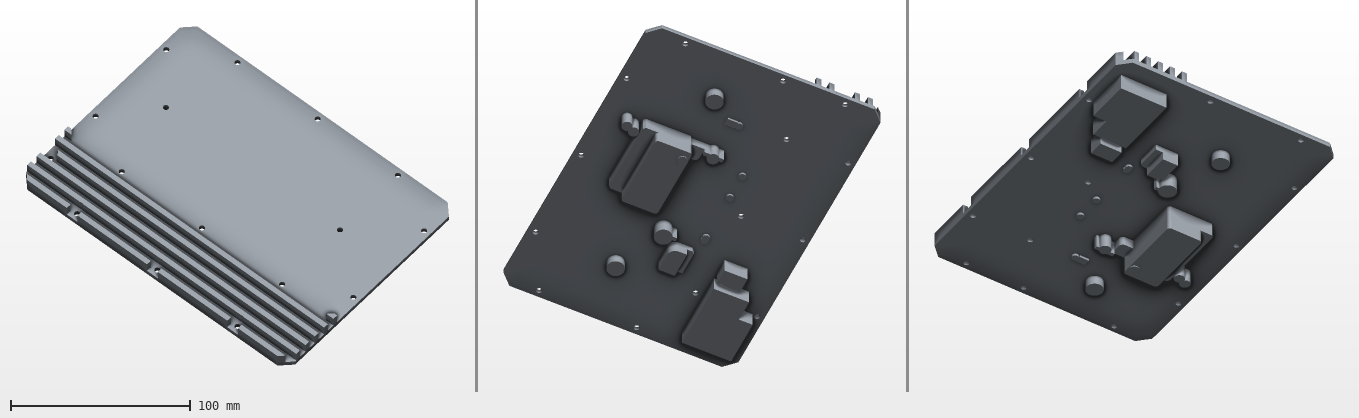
import cadquery as cq

LENGTH = 198.0
DEPTH = 145.0
THICKNESS = 3.0
CORNER = 7.0

PANEL_DEPTH = 107.0
PANEL_FRONT = DEPTH / 2 - PANEL_DEPTH
PANEL_MID = DEPTH / 2 - PANEL_DEPTH / 2

FIN_HEIGHT = 6.1
FIN_WIDTH = 3.2
FIN_PITCH = 8.0
FIN_COUNT = 6

HOLE_DIAMETER = 3.4
HOLE_INSET = 4.2
HOLE_SPACING_X = 59.0
HOLE_SPACING_Y = 60.2
SIDE_HOLE_FROM_FRONT = 23.2
SCREW_HEAD_RADIUS = 4.0

BOSS_DIAMETER = 10.3
BOSS_HEIGHT = 5.7
BOSS_HOLE_DEPTH = 6.0
BOSS_XS = (-69.1, HOLE_SPACING_X)

BLOCK_LEFT, BLOCK_RIGHT = -38.5, 8.1
BLOCK_FRONT, BLOCK_BACK = 17.8, 40.2
BLOCK_HEIGHT = 16.2
BLOCK_FILLET = 2.0
BUTTON_DIAMETER = 5.7
BUTTON_HEIGHT = 0.5
BUTTON_CENTRE = (-32.0, 21.2)

POST_HEIGHT = 8.5
SHELF_BACK = 48.0
SHELF_CHAMFER = 1.4
LEDGE_LEFT, LEDGE_RIGHT = -37.2, -28.0
LEDGE_FRONT = 9.9
LEDGE_FILLET = 2.8

REAR_POST_DIAMETER = 6.3
REAR_POST_CENTRES = ((-34.8, 56.6), (-32.9, 51.7))
SMALL_POST_DIAMETER = 7.1
SMALL_POST_CENTRE = (-34.8, 3.5)
LARGE_POST_DIAMETER = 10.5
LARGE_POST_CENTRE = (26.0, 5.3)
RIB_WIDTH = 2.4
RIB_LENGTH = 4.8
RIB_CENTRES = ((LEDGE_LEFT + RIB_WIDTH / 2, 7.5), (LEDGE_LEFT + RIB_WIDTH / 2, 0.4), (24.5, 0.4))

BASE_LEFT, BASE_RIGHT = 31.3, 47.5
BASE_FRONT, BASE_BACK = -11.9, -2.0
BASE_FILLET = 4.8
TOE_FRONT = -16.6
TOE_HEIGHT = 3.5
TOE_CHAMFER = 1.4

PAD_HEIGHT = 1.4
PAD_DIAMETER = 4.4
PAD_CENTRES = ((-56.6, -2.0), (-25.7, -18.8), (-9.5, -18.8), (21.4, -18.8), (23.4, -18.8))
LONG_PAD_LEFT, LONG_PAD_RIGHT = -58.8, -54.5
LONG_PAD_FRONT, LONG_PAD_BACK = -0.4, 5.7

CONNECTOR_HEIGHT = 9.9
CONNECTOR_BACK = -35.0
CONNECTORS = (
    (31.3, 41.0, -49.1),
    (45.3, 58.6, -56.8),
    (58.6, 86.7, -65.3),
)


def box(left, right, front, back, bottom, top):
    """Axis-aligned block between the given limits."""
    return (
        cq.Workplane("XY", origin=((left + right) / 2, (front + back) / 2, bottom))
        .rect(right - left, back - front)
        .extrude(top - bottom)
    )


def rods(centres, diameter, bottom, top):
    """Upright cylinders at the given centres; those that overlap are joined."""
    group = cq.Workplane("XY")
    for x, y in centres:
        group = group.union(cq.Workplane("XY", origin=(x, y, bottom)).circle(diameter / 2).extrude(top - bottom))
    return group


def octagon(front, back, top):
    """Plate of full length with its four upright corners cut at 45 degrees."""
    return box(-LENGTH / 2, LENGTH / 2, front, back, 0, top).edges("|Z").chamfer(CORNER)


def mirrored_row(y):
    """Three hole centres spread evenly about the middle of the length."""
    return [(i * HOLE_SPACING_X, y) for i in (-1, 0, 1)]


def screw_holes(centres):
    return rods(centres, HOLE_DIAMETER, 0, THICKNESS)


def panel_components():
    """Everything that hangs below the panel, except the bosses."""
    block = box(BLOCK_LEFT, BLOCK_RIGHT, BLOCK_FRONT, BLOCK_BACK, -BLOCK_HEIGHT, 0)
    parts = block.edges("|Z").fillet(BLOCK_FILLET)
    parts = parts.union(rods([BUTTON_CENTRE], BUTTON_DIAMETER, -BLOCK_HEIGHT - BUTTON_HEIGHT, -BLOCK_HEIGHT))

    shelf = box(BLOCK_LEFT, BLOCK_RIGHT, PANEL_MID, SHELF_BACK, -POST_HEIGHT, 0)
    shelf = shelf.edges("|Z and >Y").chamfer(SHELF_CHAMFER)
    ledge = box(LEDGE_LEFT, LEDGE_RIGHT, LEDGE_FRONT, PANEL_MID, -BOSS_HEIGHT, 0)
    ledge = ledge.edges("|Z and >X and <Y").fillet(LEDGE_FILLET)
    base = box(BASE_LEFT, BASE_RIGHT, BASE_FRONT, BASE_BACK, -POST_HEIGHT, 0)
    base = base.edges("|Z and <X and >Y").fillet(BASE_FILLET)
    toe = box(BASE_LEFT, BASE_RIGHT, TOE_FRONT, BASE_FRONT, -TOE_HEIGHT, 0)
    toe = toe.edges("|Z and <X and <Y").chamfer(TOE_CHAMFER)
    long_pad = box(LONG_PAD_LEFT, LONG_PAD_RIGHT, LONG_PAD_FRONT, LONG_PAD_BACK, -PAD_HEIGHT, 0)
    for step in (shelf, ledge, base, toe, long_pad):
        parts = parts.union(step)

    parts = parts.union(rods(REAR_POST_CENTRES, REAR_POST_DIAMETER, -POST_HEIGHT, 0))
    parts = parts.union(rods([SMALL_POST_CENTRE], SMALL_POST_DIAMETER, -POST_HEIGHT, 0))
    parts = parts.union(rods([LARGE_POST_CENTRE], LARGE_POST_DIAMETER, -POST_HEIGHT, 0))
    ribs = cq.Workplane("XY").pushPoints(RIB_CENTRES).rect(RIB_WIDTH, RIB_LENGTH).extrude(-POST_HEIGHT)
    pads = rods(PAD_CENTRES, PAD_DIAMETER, -PAD_HEIGHT, 0)
    return parts.union(ribs).union(pads)


def make_panel():
    boss_centres = [(x, PANEL_MID) for x in BOSS_XS]
    side_x = LENGTH / 2 - HOLE_INSET
    holes = mirrored_row(DEPTH / 2 - HOLE_INSET) + mirrored_row(PANEL_FRONT + HOLE_INSET)
    for x in (-side_x, side_x):
        for side in (-1, 1):
            holes.append((x, PANEL_MID + side * HOLE_SPACING_Y / 2))
    return (
        octagon(PANEL_FRONT, DEPTH / 2, THICKNESS)
        .union(panel_components())
        .union(rods(boss_centres, BOSS_DIAMETER, -BOSS_HEIGHT, 0))
        .cut(screw_holes(holes))
        .cut(rods(boss_centres, HOLE_DIAMETER, THICKNESS - BOSS_HOLE_DEPTH, THICKNESS))
    )


def make_heat_sink():
    front = -DEPTH / 2
    fin_top = THICKNESS + FIN_HEIGHT
    row_y = front + HOLE_INSET
    front_holes = mirrored_row(row_y)
    side_hole = (-LENGTH / 2 + HOLE_INSET, front + SIDE_HOLE_FROM_FRONT)

    sink = box(-LENGTH / 2, LENGTH / 2, front, PANEL_FRONT + CORNER, 0, THICKNESS)
    for i in range(FIN_COUNT):
        fin_front = front + i * FIN_PITCH
        sink = sink.union(box(-LENGTH / 2, LENGTH / 2, fin_front, fin_front + FIN_WIDTH, THICKNESS, fin_top))

    sink = sink.intersect(octagon(front, DEPTH / 2, fin_top))
    sink = sink.cut(octagon(PANEL_FRONT, DEPTH / 2, fin_top))

    sink = sink.cut(rods(front_holes + [side_hole], 2 * SCREW_HEAD_RADIUS, THICKNESS, fin_top))
    side_x, side_y = side_hole
    side_room = (-LENGTH / 2, side_x, side_y - SCREW_HEAD_RADIUS, side_y + SCREW_HEAD_RADIUS)
    sink = sink.cut(box(*side_room, THICKNESS, fin_top))
    for x, y in front_holes:
        sink = sink.cut(box(x - SCREW_HEAD_RADIUS, x + SCREW_HEAD_RADIUS, front, y, THICKNESS, fin_top))
    sink = sink.cut(screw_holes(front_holes + [side_hole]))

    for left, right, connector_front in CONNECTORS:
        sink = sink.union(box(left, right, connector_front, CONNECTOR_BACK, -CONNECTOR_HEIGHT, 0))
    return sink


panel = make_panel().solids()
heat_sink = make_heat_sink().solids()

result = cq.Compound.makeCompound([panel.val(), heat_sink.val()])